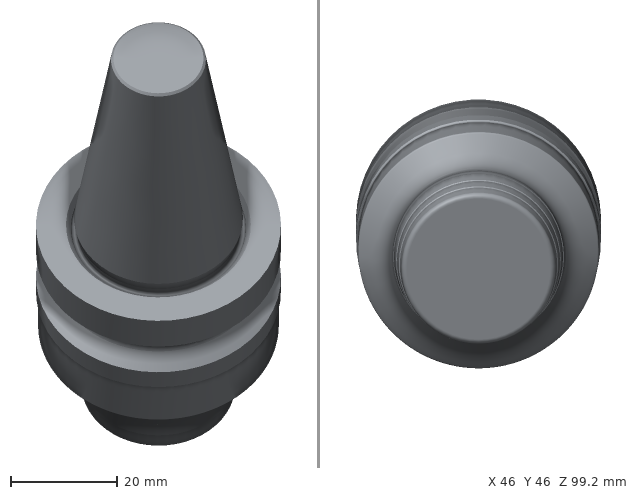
import cadquery as cq
import math

total_height = 99.2

nose_end_radius = 14.4
nose_end_fillet = 1.0
lower_step_z = 4.2
lower_step_radius = 14.8
middle_step_z = 8.1
middle_step_radius = 15.3
nose_step = 0.2
neck_bottom_z = 12.2
neck_radius = 16.1
neck_fillet = 0.8

slope = math.tan(math.radians(30))
body_radius = 22.6
body_cone_top_z = 18.6
body_edge_fillet = 0.5
flange_radius = 23.0
flange_bottom_z = 29.0
flange_chamfer = flange_radius - body_radius
flange_top_z = 48.9

groove_radius = 19.0
groove_bottom_z = 33.4
groove_top_z = 41.2
groove_fillet = 1.1
groove_wall_rise = (flange_radius - groove_radius) * slope

relief_radius = 17.4
relief_lip_radius = 16.5
relief_lip_z = flange_top_z - (relief_radius - relief_lip_radius)
relief_neck_radius = 15.4
relief_middle_radius = (relief_lip_radius + relief_neck_radius) / 2
relief_floor_z = relief_lip_z - (relief_lip_radius - relief_neck_radius) / 2

taper_base_z = 51.1
taper_base_radius = 15.9
taper_top_radius = taper_base_radius - (total_height - taper_base_z) * 7 / 48
taper_top_chamfer = 0.4
shank_collar_z = 50.2
shank_collar_radius = 15.7

body_cone_bottom_z = body_cone_top_z - (body_radius - neck_radius) * slope

profile = (
    cq.Workplane("XZ")
    .lineTo(nose_end_radius, 0)
    .lineTo(lower_step_radius, lower_step_z)
    .lineTo(lower_step_radius + nose_step, lower_step_z + nose_step)
    .lineTo(middle_step_radius, middle_step_z)
    .lineTo(middle_step_radius + nose_step, middle_step_z + nose_step)
    .lineTo(neck_radius - nose_step, neck_bottom_z)
    .lineTo(neck_radius, neck_bottom_z)
    .lineTo(neck_radius, body_cone_bottom_z)
    .lineTo(body_radius, body_cone_top_z)
    .lineTo(body_radius, flange_bottom_z - flange_chamfer)
    .lineTo(flange_radius, flange_bottom_z)
    .lineTo(flange_radius, groove_bottom_z)
    .lineTo(groove_radius, groove_bottom_z + groove_wall_rise)
    .lineTo(groove_radius, groove_top_z - groove_wall_rise)
    .lineTo(flange_radius, groove_top_z)
    .lineTo(flange_radius, flange_top_z)
    .lineTo(relief_radius, flange_top_z)
    .lineTo(relief_lip_radius, relief_lip_z)
    .threePointArc((relief_middle_radius, relief_floor_z), (relief_neck_radius, relief_lip_z))
    .lineTo(relief_neck_radius, flange_top_z)
    .lineTo(shank_collar_radius, shank_collar_z)
    .lineTo(taper_base_radius, taper_base_z)
    .lineTo(taper_top_radius, total_height)
    .lineTo(0, total_height)
    .close()
)
holder = profile.revolve(360, (0, 0, 0), (0, 1, 0))


def circle_edge(radius, z):
    """Select the circular edge with the given radius and height."""
    reach = radius + 0.1
    half_height = 0.05
    inner = radius - 0.1
    return cq.selectors.BoxSelector(
        (-reach, -reach, z - half_height), (reach, reach, z + half_height), boundingbox=True
    ) - cq.selectors.BoxSelector(
        (-inner, -inner, z - half_height), (inner, inner, z + half_height), boundingbox=True
    )


def round_edge(part, radius, z, fillet):
    return part.edges(circle_edge(radius, z)).fillet(fillet)


holder = round_edge(holder, nose_end_radius, 0, nose_end_fillet)
holder = round_edge(holder, neck_radius, body_cone_bottom_z, neck_fillet)
holder = round_edge(holder, body_radius, body_cone_top_z, body_edge_fillet)
holder = round_edge(holder, groove_radius, groove_bottom_z + groove_wall_rise, groove_fillet)
holder = round_edge(holder, groove_radius, groove_top_z - groove_wall_rise, groove_fillet)
result = holder.edges(circle_edge(taper_top_radius, total_height)).chamfer(taper_top_chamfer)